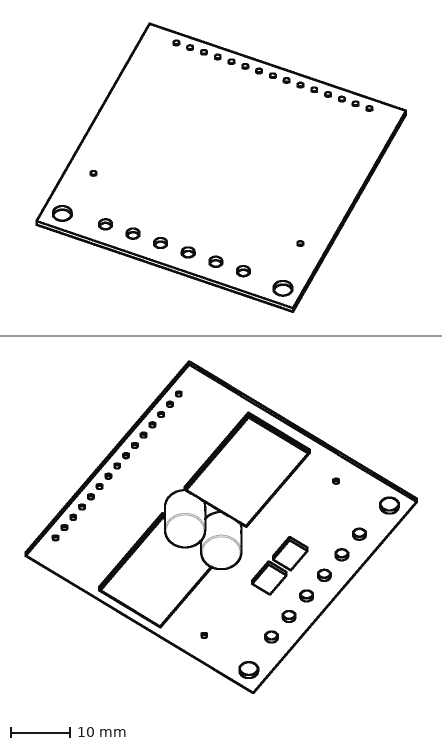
import cadquery as cq

board_size = 47.24
overall_height = 8.42
board_thickness = 1.0
pin_pitch = 2.54

header_count = 15
header_diameter = 1.0
header_y = 21.59
terminal_count = 6
terminal_diameter = 2.2
terminal_y = -19.56
terminal_pitch = 2 * pin_pitch
locating_diameter = 1.0
locating_x = 7.5 * pin_pitch
locating_y = -4 * pin_pitch
mounting_diameter = 3.2
mounting_x = 8 * pin_pitch
mounting_y = -8 * pin_pitch

capacitor_diameter = 6.8
capacitor_height = overall_height - board_thickness
capacitor_rim_fillet = 0.2
capacitor_positions_y = (0.0, 7.5)

large_chip_length = 18.4
large_chip_outer_x = 21.6
large_chip_width = 12.8
large_chip_y = 3.5
chip_height = 1.0
large_chip_chamfer = 0.2

small_chip_length = 4.8
small_chip_width = 3.7
small_chip_x = 3.02
small_chip_y = -12.15


def drill_row(body, count, pitch, y, diameter):
    """Cut a row of through holes, centred on X."""
    first_x = -pitch * (count - 1) / 2
    points = [(first_x + i * pitch, y) for i in range(count)]
    return body.cut(cq.Workplane("XY").pushPoints(points).circle(diameter / 2).extrude(board_thickness))


def make_board():
    """Square board with all of its hole rows."""
    board = cq.Workplane("XY").rect(board_size, board_size).extrude(board_thickness)
    board = drill_row(board, header_count, pin_pitch, header_y, header_diameter)
    board = drill_row(board, terminal_count, terminal_pitch, terminal_y, terminal_diameter)
    board = drill_row(board, 2, 2 * locating_x, locating_y, locating_diameter)
    return drill_row(board, 2, 2 * mounting_x, mounting_y, mounting_diameter)


def make_capacitor(y):
    """Round can hanging from the board, with a rounded bottom rim."""
    can = cq.Workplane("XY").center(0, y).circle(capacitor_diameter / 2).extrude(-capacitor_height)
    return can.faces("<Z").fillet(capacitor_rim_fillet)


def make_chip(x, y, length, width):
    """Rectangular package hanging from the board."""
    return cq.Workplane("XY").center(x, y).rect(length, width).extrude(-chip_height)


def make_large_chip(side):
    """Large package with a chamfered bottom rim."""
    x = side * (large_chip_outer_x - large_chip_length / 2)
    chip = make_chip(x, large_chip_y, large_chip_length, large_chip_width)
    return chip.faces("<Z").chamfer(large_chip_chamfer)


result = make_board()
for capacitor_y in capacitor_positions_y:
    result = result.union(make_capacitor(capacitor_y))
for side in (-1, 1):
    result = result.union(make_large_chip(side))
    result = result.union(make_chip(side * small_chip_x, small_chip_y, small_chip_length, small_chip_width))